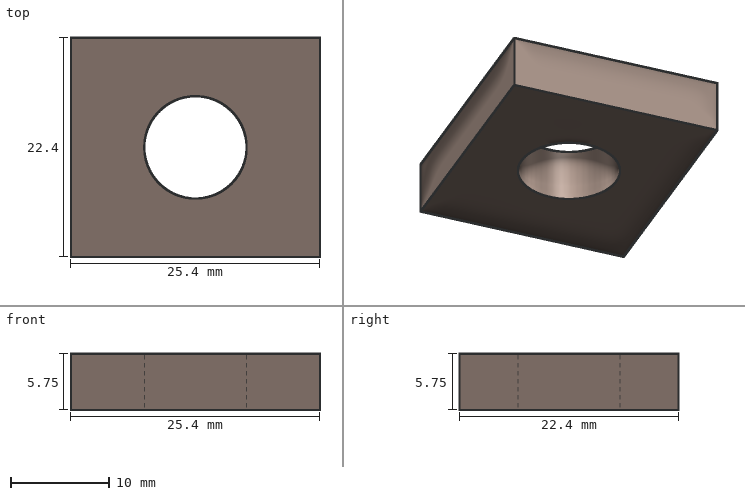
import cadquery as cq

length = 25.4
width = 22.35
thickness = 5.75

hole_diameter = 10.41

plate = cq.Workplane("XY").box(length, width, thickness)
result = plate.faces(">Z").workplane().hole(hole_diameter)